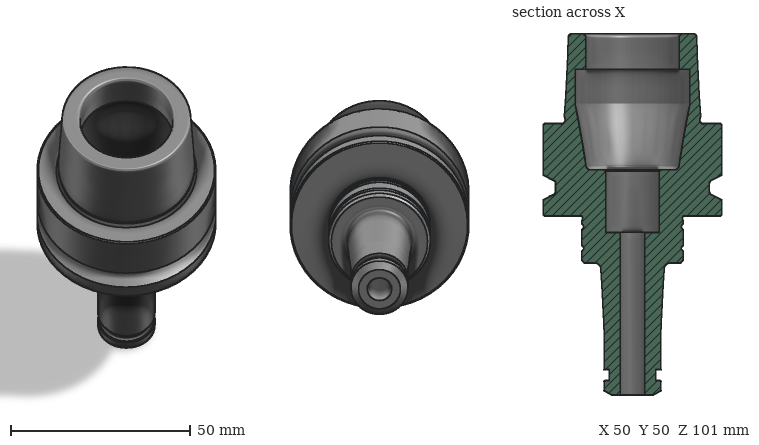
import cadquery as cq
import math

total_height = 101.0

shank_dia = 16.0
knob_chamfer_width = 2.1
knob_chamfer_height = 1.2
knob_edge_chamfer = 0.3
knob_top = 4.1
neck_dia = 13.0
neck_top = 7.2

stem_taper_bottom = 17.0
stem_taper_top = 35.2
stem_top_dia = 17.9
stem_fillet = 1.6

collar_dia = 28.5
collar_bottom = stem_taper_top + stem_fillet
collar_chamfer = 0.8
ring_groove_bottoms = [40.2, 46.3]
ring_groove_width = 1.6
ring_groove_lip = 0.2
ring_groove_depth = 0.5
relief_width = 1.2
relief_depth = 0.2

flange_dia = 50.0
flange_bottom = 50.0
flange_top = 76.0
flange_chamfer = 0.4
v_groove_dia = 43.0
v_groove_bottom = 54.6
v_groove_top = 61.4
v_groove_side_height = 1.7
v_groove_fillet = 0.6

face_recess_dia = 40.5
face_recess_depth = 0.2
undercut_foot_dia = 39.2
undercut_dia = 37.8
undercut_bottom = 76.6
undercut_top = 77.2
seat_bottom = 77.8
seat_bottom_dia = 38.3
seat_top_dia = 36.0
seat_fillet = 1.0

bore_dia = 26.0
bore_mouth_fillet = 1.2
bore_floor_fillet = 1.2
clamp_groove_dia = 32.0
clamp_groove_top = 91.0
clamp_groove_bottom = 81.4
clamp_cone_angle = 10.0
clamp_cone_height = (clamp_groove_dia - bore_dia) / 2 / math.tan(math.radians(clamp_cone_angle))
clamp_cone_bottom = clamp_groove_bottom - clamp_cone_height
bore_floor = clamp_cone_bottom - bore_floor_fillet
pocket_mouth_dia = 16.0
pocket_dia = 14.9
pocket_chamfer = (pocket_mouth_dia - pocket_dia) / 2
pocket_floor = 45.5
through_dia = 6.8


def turn(profile):
    """Revolve a closed half profile about the Z axis."""
    return profile.revolve(360, (0, 0, 0), (0, 1, 0))


def add_knob_and_stem(p):
    shank_r = shank_dia / 2
    neck_r = neck_dia / 2
    stem_r = stem_top_dia / 2
    p = p.lineTo(shank_r - knob_chamfer_width, 0)
    p = p.lineTo(shank_r, knob_chamfer_height)
    p = p.lineTo(shank_r, knob_top - knob_edge_chamfer)
    p = p.lineTo(shank_r - knob_edge_chamfer, knob_top)
    p = p.lineTo(neck_r, knob_top)
    p = p.lineTo(neck_r, neck_top)
    p = p.lineTo(shank_r, neck_top)
    p = p.lineTo(shank_r, stem_taper_bottom)
    p = p.lineTo(stem_r, stem_taper_top)
    return p.radiusArc((stem_r + stem_fillet, collar_bottom), stem_fillet)


def add_ring_groove(p, bottom):
    """Shallow groove with a rounded floor between two slanted lips."""
    collar_r = collar_dia / 2
    lip_r = collar_r - ring_groove_lip
    top = bottom + ring_groove_width
    p = p.lineTo(collar_r, bottom)
    p = p.lineTo(lip_r, bottom + ring_groove_lip)
    p = p.threePointArc(
        (collar_r - ring_groove_depth, (bottom + top) / 2),
        (lip_r, top - ring_groove_lip),
    )
    return p.lineTo(collar_r, top)


def add_collar(p):
    collar_r = collar_dia / 2
    p = p.lineTo(collar_r - collar_chamfer, collar_bottom)
    p = p.lineTo(collar_r, collar_bottom + collar_chamfer)
    for bottom in ring_groove_bottoms:
        p = add_ring_groove(p, bottom)
    p = p.lineTo(collar_r, flange_bottom - relief_width)
    return p.threePointArc(
        (collar_r - relief_depth, flange_bottom - relief_width / 2),
        (collar_r, flange_bottom),
    )


def add_flange(p):
    flange_r = flange_dia / 2
    groove_r = v_groove_dia / 2
    p = p.lineTo(flange_r - flange_chamfer, flange_bottom)
    p = p.lineTo(flange_r, flange_bottom + flange_chamfer)
    p = p.lineTo(flange_r, v_groove_bottom)
    p = p.lineTo(groove_r, v_groove_bottom + v_groove_side_height)
    p = p.lineTo(groove_r, v_groove_top - v_groove_side_height)
    p = p.lineTo(flange_r, v_groove_top)
    p = p.lineTo(flange_r, flange_top - flange_chamfer)
    return p.lineTo(flange_r - flange_chamfer, flange_top)


def add_seat(p):
    p = p.lineTo(face_recess_dia / 2, flange_top)
    p = p.lineTo(undercut_foot_dia / 2, flange_top - face_recess_depth)
    p = p.lineTo(undercut_dia / 2, undercut_bottom)
    p = p.lineTo(undercut_dia / 2, undercut_top)
    p = p.lineTo(seat_bottom_dia / 2, seat_bottom)
    p = p.lineTo(seat_top_dia / 2, total_height)
    return p.lineTo(0, total_height)


def make_body():
    p = cq.Workplane("XZ").moveTo(0, 0)
    p = add_knob_and_stem(p)
    p = add_collar(p)
    p = add_flange(p)
    p = add_seat(p)
    solid = turn(p.close())
    solid = solid.faces(">Z").edges().fillet(seat_fillet)

    reach = (v_groove_dia + flange_dia) / 4
    floor_corners = cq.selectors.BoxSelector(
        (-reach, -reach, v_groove_bottom),
        (reach, reach, v_groove_top),
        boundingbox=True,
    )
    return solid.edges("%CIRCLE").edges(floor_corners).fillet(v_groove_fillet)


def make_bore():
    bore_r = bore_dia / 2
    groove_r = clamp_groove_dia / 2
    pocket_r = pocket_dia / 2
    through_r = through_dia / 2
    p = cq.Workplane("XZ").moveTo(0, total_height)
    p = p.lineTo(bore_r + bore_mouth_fillet, total_height)
    p = p.radiusArc((bore_r, total_height - bore_mouth_fillet), -bore_mouth_fillet)
    p = p.lineTo(bore_r, clamp_groove_top)
    p = p.lineTo(groove_r, clamp_groove_top)
    p = p.lineTo(groove_r, clamp_groove_bottom)
    p = p.lineTo(bore_r, clamp_cone_bottom)
    p = p.radiusArc((bore_r - bore_floor_fillet, bore_floor), bore_floor_fillet)
    p = p.lineTo(pocket_mouth_dia / 2, bore_floor)
    p = p.lineTo(pocket_r, bore_floor - pocket_chamfer)
    p = p.lineTo(pocket_r, pocket_floor)
    p = p.lineTo(through_r, pocket_floor)
    p = p.lineTo(through_r, 0)
    p = p.lineTo(0, 0)
    return turn(p.close())


result = make_body().cut(make_bore())